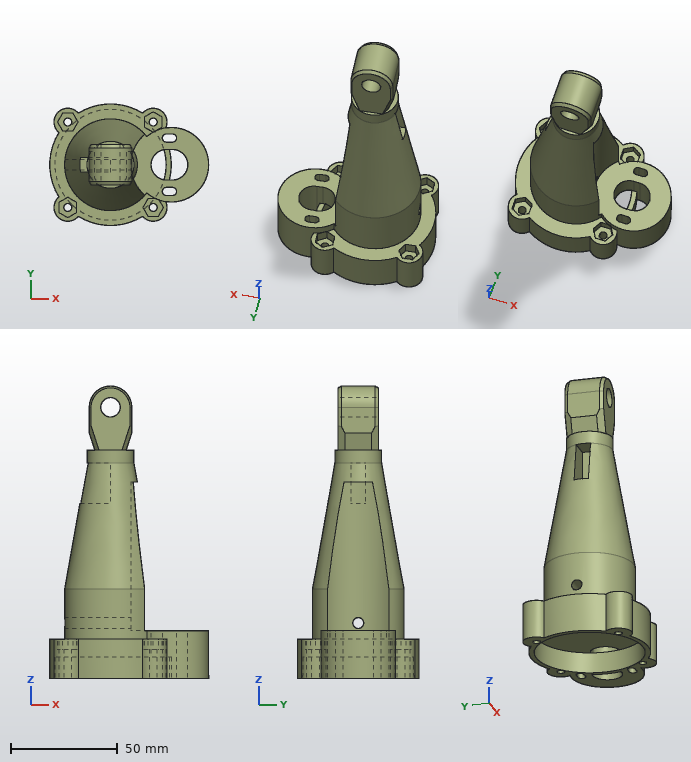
import cadquery as cq
import math

total_height = 137.0
base_height = 18.5
motor_plate_top = 22.5
barrel_top = 42.0
cone_top = 101.0
collar_top = 107.0

base_radius = 28.5
base_wall = 2.5
cavity_depth = 10.0
cavity_radius = base_radius - base_wall
ear_spacing = 40.0
ear_radius = 6.5
bolt_hole_diameter = 3.6
nut_across_flats = 8.3
nut_pocket_depth = 5.0

tower_radius = 21.5
collar_radius = 11.0
cross_pin_diameter = 5.0
cross_pin_height = 26.0
window_width = 7.0
window_bottom = 82.0
window_back_x = 0.0

motor_x = base_radius
motor_mount_radius = 17.5
motor_clearance_radius = 19.0
motor_clearance_top = 92.0
motor_slot_x = 27.6
motor_slot_travel = 2.9
motor_boss_diameter = 14.2
motor_screw_diameter = 3.7
motor_screw_offset = 12.5

lug_radius = 10.0
lug_width = 19.0
lug_eye_diameter = 9.0
lug_eye_height = total_height - lug_radius
lug_taper_top = 115.0
lug_foot_half_width = 7.4
lug_root_depth = 1.0
rim_chamfer_along_y = 1.7
rim_chamfer_across = 0.9
taper_bevel_along_y = 3.2
taper_bevel_across = 1.9


def cylinder(radius, bottom, top, x=0.0, y=0.0):
    """Upright cylinder between two heights."""
    return cq.Workplane("XY", origin=(x, y, bottom)).circle(radius).extrude(top - bottom)


def ear_centers():
    """Corners of the bolt square with the turn of the nut pocket at each one."""
    half = ear_spacing / 2
    corners = [(half, half), (-half, half), (-half, -half), (half, -half)]
    return [(x, y, 90.0 * (turn + 1)) for turn, (x, y) in enumerate(corners)]


def make_base():
    base = cylinder(base_radius, 0, base_height)
    for x, y, _ in ear_centers():
        base = base.union(cylinder(ear_radius, 0, base_height, x, y))
    return base


def make_tower():
    """Barrel, cone and collar, hollowed on the +X side to clear the motor body."""
    tower = (
        cq.Workplane("XZ")
        .moveTo(0, 0)
        .lineTo(tower_radius, 0)
        .lineTo(tower_radius, barrel_top)
        .lineTo(collar_radius, cone_top)
        .lineTo(collar_radius, collar_top)
        .lineTo(0, collar_top)
        .close()
        .revolve(360, (0, 0, 0), (0, 1, 0))
    )
    clearance = cylinder(motor_clearance_radius, motor_plate_top, motor_clearance_top, motor_x)
    return tower.cut(clearance)


def make_window():
    """Slot cut inward to the axis from the -X flank of the cone, just below the collar."""
    depth = window_back_x + tower_radius
    height = cone_top - window_bottom
    block = cq.Workplane("XY").box(depth, window_width, height, centered=(False, True, False))
    return block.translate((-tower_radius, 0, window_bottom))


def make_cross_pin_hole():
    return (
        cq.Workplane("YZ", origin=(-tower_radius, 0, cross_pin_height))
        .circle(cross_pin_diameter / 2)
        .extrude(2 * tower_radius)
    )


def make_bolt_holes():
    """Through holes in the ears, each with a hexagonal pocket open at the top."""
    across_corners = nut_across_flats / math.cos(math.radians(30))
    holes = cq.Workplane("XY")
    for x, y, turn in ear_centers():
        bolt = cylinder(bolt_hole_diameter / 2, 0, base_height, x, y)
        nut = cq.Workplane("XY").polygon(6, across_corners).extrude(nut_pocket_depth)
        nut = nut.rotate((0, 0, 0), (0, 0, 1), turn)
        nut = nut.translate((x, y, base_height - nut_pocket_depth))
        holes = holes.union(bolt).union(nut)
    return holes


def make_motor_slot(width, y):
    """Slot through the motor mount, elongated along X for adjusting the motor."""
    return (
        cq.Workplane("XY", origin=(motor_slot_x, y, 0))
        .slot2D(width + motor_slot_travel, width)
        .extrude(motor_plate_top)
    )


def make_boss_slot():
    """Slot for the motor boss; the wall around the base cavity still crosses it."""
    wall = cylinder(base_radius, 0, cavity_depth).cut(cylinder(cavity_radius, 0, cavity_depth))
    return make_motor_slot(motor_boss_diameter, 0).cut(wall)


def lug_outline(y):
    """Closed lug profile in the XZ plane at the given Y, rooted inside the collar."""
    slope = (lug_radius - lug_foot_half_width) / (lug_taper_top - collar_top)
    root_z = collar_top - lug_root_depth
    root_half_width = lug_foot_half_width - slope * lug_root_depth
    return (
        cq.Workplane("XZ", origin=(0, y, 0))
        .moveTo(-root_half_width, root_z)
        .lineTo(-lug_radius, lug_taper_top)
        .lineTo(-lug_radius, lug_eye_height)
        .threePointArc((0, total_height), (lug_radius, lug_eye_height))
        .lineTo(lug_radius, lug_taper_top)
        .lineTo(root_half_width, root_z)
        .close()
    )


def make_lug_end():
    """Upright bevelled end of the lug, narrowing toward its +Y face."""
    taper = math.degrees(math.atan2(rim_chamfer_across, rim_chamfer_along_y))
    start_y = lug_width / 2 - rim_chamfer_along_y
    return lug_outline(start_y).extrude(-rim_chamfer_along_y, taper=taper)


def make_taper_bevel():
    """Wedge that bevels the tapered edge at the +X, +Y corner of the lug."""
    run = lug_radius - lug_foot_half_width
    rise = lug_taper_top - collar_top
    taper_angle = math.degrees(math.atan2(run, rise))
    across = taper_bevel_across
    along = taper_bevel_along_y
    face_y = lug_width / 2
    return (
        cq.Workplane("XY")
        .moveTo(-2 * across, face_y + along)
        .lineTo(across, face_y - 2 * along)
        .lineTo(across, face_y + along)
        .close()
        .extrude(lug_width, both=True)
        .rotate((0, 0, 0), (0, 1, 0), taper_angle)
        .translate((lug_radius, 0, lug_taper_top))
    )


def make_lug():
    """Round-topped eye lug whose lower sides taper in to the collar."""
    core_half_width = lug_width / 2 - rim_chamfer_along_y
    end = make_lug_end()
    lug = lug_outline(core_half_width).extrude(2 * core_half_width)
    lug = lug.union(end).union(end.mirror("XZ"))
    bevel = make_taper_bevel()
    for corner in (bevel, bevel.mirror("YZ")):
        lug = lug.cut(corner).cut(corner.mirror("XZ"))
    eye = (
        cq.Workplane("XZ", origin=(0, lug_width / 2, lug_eye_height))
        .circle(lug_eye_diameter / 2)
        .extrude(lug_width)
    )
    return lug.cut(eye)


def make_part():
    motor_mount = cylinder(motor_mount_radius, 0, motor_plate_top, motor_x)
    part = make_base().union(make_tower()).union(motor_mount)
    part = part.cut(cylinder(cavity_radius, 0, cavity_depth))
    part = part.cut(make_window()).cut(make_cross_pin_hole()).cut(make_bolt_holes())
    part = part.cut(make_boss_slot())
    for side in (-1, 1):
        part = part.cut(make_motor_slot(motor_screw_diameter, side * motor_screw_offset))
    return part.union(make_lug())


result = make_part()